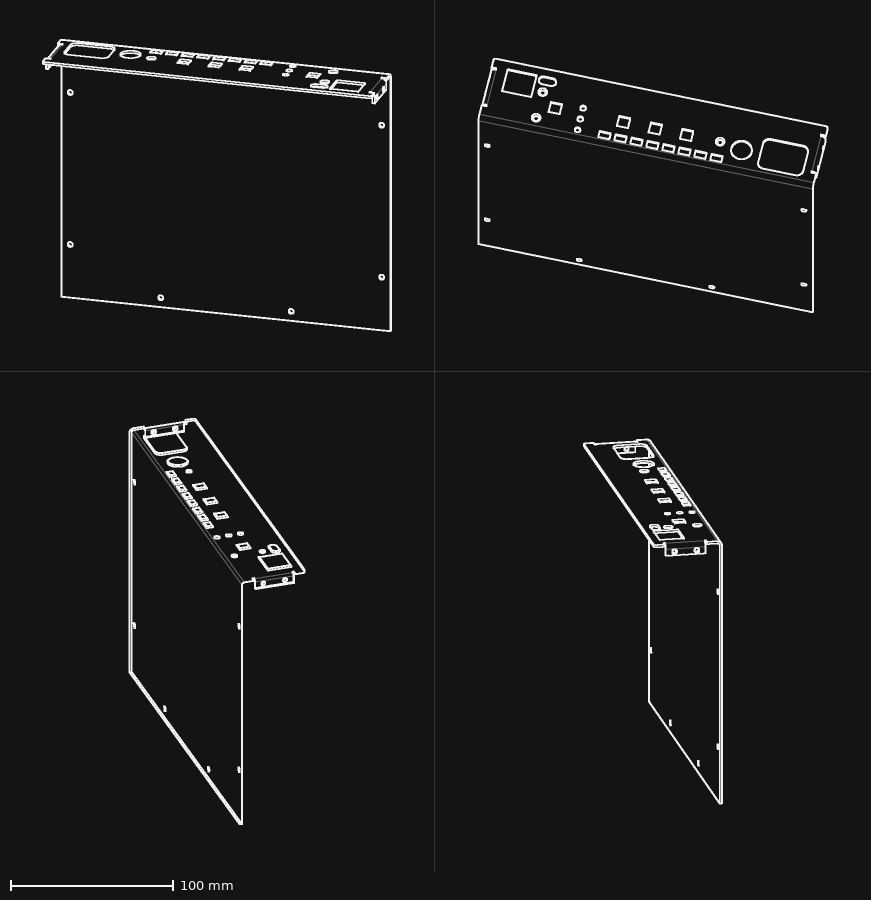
import cadquery as cq

WIDTH = 211.21
DEPTH = 42.7
HEIGHT = 169.61
SHEET = 1.5
BEND_INSIDE = 1.5
BEND_OUTSIDE = BEND_INSIDE + SHEET
CORNER_RADIUS = 1.5
HALF_WIDTH = WIDTH / 2
CUT_DEPTH = 2 * SHEET

TAB_LENGTH = 25.0
TAB_DROP = 7.4
TAB_Y = -22.85
TAB_HOLE_DIAMETER = 2.53
TAB_HOLE_MOUTH_DIAMETER = 3.2
TAB_HOLE_SPACING = 14.0
TAB_HOLE_DROP = 5.0
RELIEF_WIDTH = 1.0
RELIEF_DEPTH = 3.1

PANEL_HOLE_DIAMETER = 3.2
SIDE_HOLE_X = 100.0
SIDE_HOLE_HEIGHTS = (35.0, 135.0)
BOTTOM_HOLE_X = 41.9
BOTTOM_HOLE_HEIGHT = 6.2

INLET_CENTRE = (-83.25, -15.9)
INLET_SIZE = (28.4, 21.0)
INLET_CORNER_RADIUS = 4.0
ROUND_OPENING_CENTRE = (-57.2, -15.0)
ROUND_OPENING_DIAMETER = 12.8
VENT_COUNT = 8
VENT_PITCH = 10.1
VENT_FIRST_X = -43.35
VENT_Y = -6.15
VENT_SIZE = (7.0, 4.2)
BUTTON_SIZE = 7.0
BUTTON_Y = -17.6
BUTTON_XS = (-21.95, -2.1, 17.9, 61.05)
LIGHT_DIAMETER = 3.5
LIGHT_X = 44.3
LIGHT_TOP_Y = -6.0
LIGHT_PITCH = 7.7
LIGHT_COUNT = 3
SCREW_POINTS = ((-43.1, BUTTON_Y), (71.0, -8.35), (71.0, -26.55))
SCREW_DIAMETER = 3.5
SCREW_HEAD_DIAMETER = 5.5
SCREW_HEAD_ANGLE = 90.0
SLOT_CENTRE = (69.85, -34.6)
SLOT_SIZE = (10.8, 5.5)
SOCKET_CENTRE = (86.45, -29.45)
SOCKET_SIZE = (18.4, 15.5)


def bent_sheet():
    """Panel, bend and shelf as one L-shaped strip, with the free shelf corners rounded."""
    strip = (
        cq.Workplane("YZ", origin=(-HALF_WIDTH, 0, 0))
        .moveTo(0, 0)
        .lineTo(0, HEIGHT - BEND_OUTSIDE)
        .radiusArc((-BEND_OUTSIDE, HEIGHT), -BEND_OUTSIDE)
        .lineTo(-DEPTH, HEIGHT)
        .lineTo(-DEPTH, HEIGHT - SHEET)
        .lineTo(-BEND_OUTSIDE, HEIGHT - SHEET)
        .radiusArc((-SHEET, HEIGHT - BEND_OUTSIDE), BEND_INSIDE)
        .lineTo(-SHEET, 0)
        .close()
        .extrude(WIDTH)
    )
    return strip.faces("<Y").edges("|Z").fillet(CORNER_RADIUS)


def tab_notch(side):
    """Clearance for one tab and the reliefs at both of its ends; side is -1 or +1."""
    return (
        cq.Workplane("XY")
        .box(2 * RELIEF_DEPTH, TAB_LENGTH + 2 * RELIEF_WIDTH, CUT_DEPTH)
        .translate((side * HALF_WIDTH, TAB_Y, HEIGHT - SHEET / 2))
    )


def tab_hole(side, y):
    """Cutter for one tab hole, chamfered at its mouth on the outer face of the tab."""
    outer_x = side * HALF_WIDTH
    hole_radius = TAB_HOLE_DIAMETER / 2
    mouth_radius = TAB_HOLE_MOUTH_DIAMETER / 2
    mouth_depth = mouth_radius - hole_radius
    mouth_centre = cq.Vector(outer_x, y, HEIGHT - TAB_HOLE_DROP)
    inward = cq.Vector(-side, 0, 0)
    hole = cq.Solid.makeCylinder(hole_radius, CUT_DEPTH, mouth_centre, inward)
    mouth = cq.Solid.makeCone(mouth_radius, hole_radius, mouth_depth, mouth_centre, inward)
    return cq.Workplane(hole).union(cq.Workplane(mouth))


def side_tab(side):
    """One tab with its bend, joined to the shelf at the bottom of the notch; side is -1 or +1."""
    outer_x = side * HALF_WIDTH
    inner_x = side * (HALF_WIDTH - SHEET)
    bend_x = side * (HALF_WIDTH - BEND_OUTSIDE)
    root_x = side * (HALF_WIDTH - RELIEF_DEPTH)
    bend_z = HEIGHT - BEND_OUTSIDE
    tab = (
        cq.Workplane("XZ", origin=(0, TAB_Y + TAB_LENGTH / 2, 0))
        .moveTo(root_x, HEIGHT)
        .lineTo(bend_x, HEIGHT)
        .radiusArc((outer_x, bend_z), side * BEND_OUTSIDE)
        .lineTo(outer_x, HEIGHT - TAB_DROP)
        .lineTo(inner_x, HEIGHT - TAB_DROP)
        .lineTo(inner_x, bend_z)
        .radiusArc((bend_x, HEIGHT - SHEET), -side * BEND_INSIDE)
        .lineTo(root_x, HEIGHT - SHEET)
        .close()
        .extrude(TAB_LENGTH)
    )
    for offset in (-TAB_HOLE_SPACING / 2, TAB_HOLE_SPACING / 2):
        tab = tab.cut(tab_hole(side, TAB_Y + offset))
    return tab


def panel_holes():
    """Pins that cut the screw holes of the upright panel."""
    points = []
    for side in (-1, 1):
        points.append((side * BOTTOM_HOLE_X, BOTTOM_HOLE_HEIGHT))
        for height in SIDE_HOLE_HEIGHTS:
            points.append((side * SIDE_HOLE_X, height))
    return (
        cq.Workplane("XZ")
        .pushPoints(points)
        .circle(PANEL_HOLE_DIAMETER / 2)
        .extrude(CUT_DEPTH, both=True)
    )


def on_shelf(points):
    """Workplane on the top of the shelf with the given (X, Y) points selected."""
    return cq.Workplane("XY", origin=(0, 0, HEIGHT)).pushPoints(points)


def shelf_openings():
    """Bodies of every straight-walled opening in the shelf."""
    vents = [(VENT_FIRST_X + i * VENT_PITCH, VENT_Y) for i in range(VENT_COUNT)]
    buttons = [(x, BUTTON_Y) for x in BUTTON_XS]
    lights = [(LIGHT_X, LIGHT_TOP_Y - i * LIGHT_PITCH) for i in range(LIGHT_COUNT)]
    inlet = on_shelf([INLET_CENTRE]).rect(*INLET_SIZE).extrude(-CUT_DEPTH)
    return [
        inlet.edges("|Z").fillet(INLET_CORNER_RADIUS),
        on_shelf([ROUND_OPENING_CENTRE]).circle(ROUND_OPENING_DIAMETER / 2).extrude(-CUT_DEPTH),
        on_shelf(vents).rect(*VENT_SIZE).extrude(-CUT_DEPTH),
        on_shelf(buttons).rect(BUTTON_SIZE, BUTTON_SIZE).extrude(-CUT_DEPTH),
        on_shelf(lights).circle(LIGHT_DIAMETER / 2).extrude(-CUT_DEPTH),
        on_shelf([SLOT_CENTRE]).slot2D(*SLOT_SIZE).extrude(-CUT_DEPTH),
        on_shelf([SOCKET_CENTRE]).rect(*SOCKET_SIZE).extrude(-CUT_DEPTH),
    ]


result = bent_sheet()
for end in (-1, 1):
    result = result.cut(tab_notch(end)).union(side_tab(end))
result = result.cut(panel_holes())
for opening in shelf_openings():
    result = result.cut(opening)
result = (
    result.faces(">Z")
    .workplane(origin=(0, 0, HEIGHT))
    .pushPoints(SCREW_POINTS)
    .cskHole(SCREW_DIAMETER, SCREW_HEAD_DIAMETER, SCREW_HEAD_ANGLE, depth=CUT_DEPTH)
)